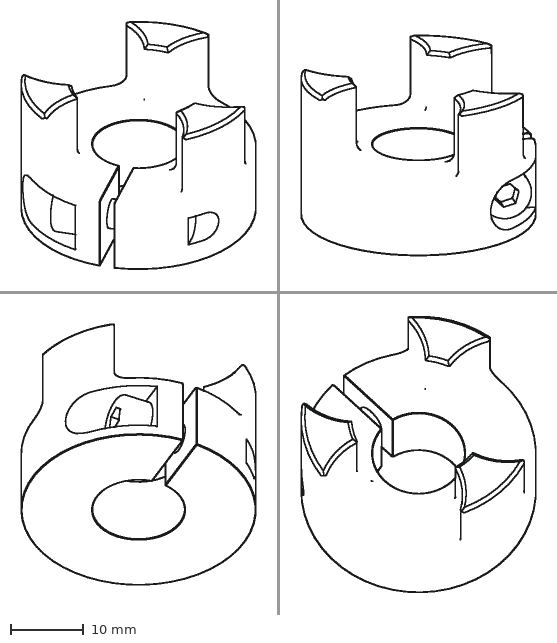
import cadquery as cq
import math


outer_radius = 16.1
bore_radius = 6.3
hub_height = 10.4
total_height = 20.5
rim_fillet = 0.45
small_chamfer = 0.1

jaw_count = 3
jaw_inner_radius = 9.18
jaw_root_fillet = 1.5
jaw_top_chamfer = 0.5
jaw_corner_fillet = 0.23
gap_radius = 9.6
gap_center_distance = 12.6
first_gap_angle = 30.0

slit_width = 2.0

screw_y = -10.5
screw_z = hub_height / 2
shaft_diameter = 4.1
head_diameter = 7.1
head_seat_x = -4.67
head_length = 4.05
head_fillet = 0.55
shaft_length = 14.0
exit_recess_x = 10.5
exit_recess_width = 4.25

socket_width = 3.0
socket_turn = 14.5
socket_depth = 2.0
drill_diameter = 3.25
drill_point_angle = 120.0

tolerance = 0.003


def round_cutter(radius, center_x, angle):
    """Cylinder above the hub face with a rounded bottom rim, turned about Z."""
    return (
        cq.Workplane("XY")
        .workplane(offset=hub_height)
        .center(center_x, 0)
        .circle(radius)
        .extrude(total_height)
        .faces("<Z")
        .edges()
        .fillet(jaw_root_fillet)
        .rotate((0, 0, 0), (0, 0, 1), angle)
    )


def cut_jaws(body):
    body = body.cut(round_cutter(jaw_inner_radius, 0, 0))
    for index in range(jaw_count):
        angle = first_gap_angle + index * 360 / jaw_count
        body = body.cut(round_cutter(gap_radius, gap_center_distance, angle))
    return body


def axis_distance(point):
    return math.hypot(point.x, point.y)


def is_gap_rim(edge):
    """True for an edge where a gap runs out through the outer cylinder."""
    middle = edge.positionAt(0.5)
    on_outside = abs(axis_distance(middle) - outer_radius) < tolerance
    on_slit = abs(middle.x) < slit_width
    return on_outside and not on_slit and tolerance < middle.z < total_height - jaw_top_chamfer


def is_jaw_inner_corner(edge):
    """True for an edge where an inner corner of a jaw rises from the hub face."""
    ends = [edge.startPoint(), edge.endPoint()]
    low, high = sorted(ends, key=lambda point: point.z)
    rises = high.z - low.z > jaw_root_fillet - tolerance and low.z > hub_height - tolerance
    below_chamfer = edge.positionAt(0.5).z < total_height - jaw_top_chamfer
    return rises and below_chamfer and axis_distance(high) < (jaw_inner_radius + outer_radius) / 2


def is_fine_edge(edge):
    """True for an edge of the slit or the bore, or one around the bottom face."""
    middle = edge.positionAt(0.5)
    on_slit = abs(abs(middle.x) - slit_width / 2) < tolerance and middle.y < 0
    on_bore = abs(axis_distance(middle) - bore_radius) < tolerance
    return on_slit or on_bore or middle.z < tolerance


def side_recess(floor_x, width, direction):
    """Recess along X from a flat floor, round on the inner side and open toward -Y."""
    depth = direction * outer_radius
    section = cq.Workplane("YZ", origin=(floor_x, screw_y, screw_z))
    round_side = section.circle(width / 2).extrude(depth)
    open_side = section.center(-outer_radius / 2, 0).rect(outer_radius, width).extrude(depth)
    return round_side.union(open_side)


def screw_cylinder(start_x, diameter, length):
    """Cylinder along X on the axis of the screw."""
    section = cq.Workplane("YZ", origin=(start_x, screw_y, screw_z))
    return section.circle(diameter / 2).extrude(length)


def make_hub():
    body = (
        cq.Workplane("XY")
        .circle(outer_radius)
        .extrude(total_height)
        .rotate((0, 0, 0), (0, 0, 1), -90)
    )
    body = cut_jaws(body)

    slit = cq.Workplane("XY").rect(slit_width, 2 * outer_radius).extrude(hub_height)
    body = body.cut(slit.translate((0, -outer_radius, 0)))

    body = body.faces(">Z").edges().chamfer(jaw_top_chamfer)
    inner_corners = [edge for edge in body.edges().vals() if is_jaw_inner_corner(edge)]
    body = body.newObject(inner_corners).fillet(jaw_corner_fillet)
    gap_rims = [edge for edge in body.edges().vals() if is_gap_rim(edge)]
    body = body.newObject(gap_rims).fillet(rim_fillet)

    body = body.cut(cq.Workplane("XY").circle(bore_radius).extrude(total_height))

    fine_edges = [edge for edge in body.edges().vals() if is_fine_edge(edge)]
    body = body.newObject(fine_edges).chamfer(small_chamfer)

    body = body.cut(screw_cylinder(head_seat_x, shaft_diameter, shaft_length))
    body = body.cut(side_recess(head_seat_x, head_diameter, -1))
    return body.cut(side_recess(exit_recess_x, exit_recess_width, 1))


def make_socket():
    """Turned hexagon with a conical drill point as its bottom."""
    mouth = (head_seat_x - head_length, screw_y, screw_z)
    corner_radius = socket_width / 2 / math.cos(math.pi / 6)
    drill_radius = drill_diameter / 2
    point_length = drill_radius / math.tan(math.radians(drill_point_angle / 2))
    bottom_x = socket_depth + point_length
    hexagon = (
        cq.Workplane("YZ", origin=mouth)
        .transformed(rotate=(0, 0, -socket_turn))
        .polygon(6, 2 * corner_radius)
        .extrude(bottom_x)
    )
    envelope = (
        cq.Workplane("XY", origin=mouth)
        .moveTo(0, 0)
        .lineTo(0, 2 * corner_radius)
        .lineTo(socket_depth, 2 * corner_radius)
        .lineTo(socket_depth, drill_radius)
        .lineTo(bottom_x, 0)
        .close()
        .revolve(360, (0, 0, 0), (1, 0, 0))
    )
    return hexagon.intersect(envelope)


def make_screw():
    head = screw_cylinder(head_seat_x - head_length, head_diameter, head_length)
    head = head.faces("<X").edges().fillet(head_fillet)
    shaft = screw_cylinder(head_seat_x, shaft_diameter, shaft_length)
    return head.union(shaft).cut(make_socket())


hub = make_hub()
screw = make_screw()
result = cq.Compound.makeCompound([hub.val(), screw.val()])